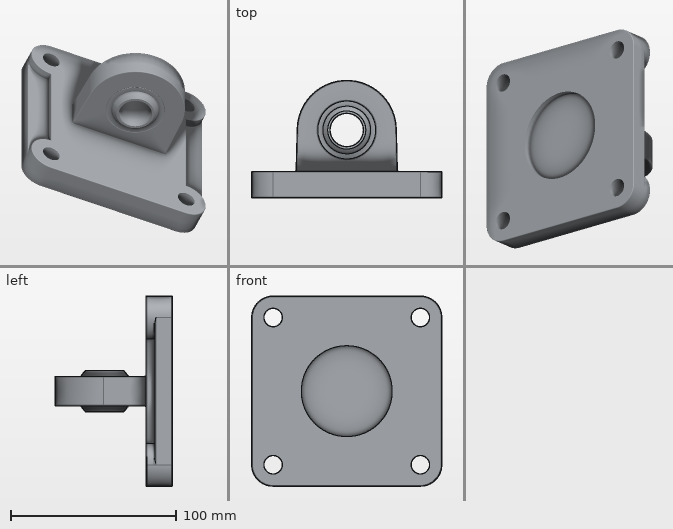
import cadquery as cq
import math

PLATE_SIZE = 115.0
PLATE_THICKNESS = 16.0
CORNER_RADIUS = 13.0
BOLT_OFFSET = PLATE_SIZE / 2 - CORNER_RADIUS
BOLT_HOLE_DIAMETER = 11.0
SPIGOT_DIAMETER = 55.0
SPIGOT_DEPTH = 5.0
EDGE_RADIUS = 0.5

RELIEF_DEPTH = 5.5
OVERCUT = 2.0
LEDGE_Y = PLATE_THICKNESS - RELIEF_DEPTH

EYE_RADIUS = 30.0
EYE_THICKNESS = 18.0
EYE_CENTER_Y = 41.0
EYE_TAPER = math.radians(1.5)
EYE_BURIAL = 3.0

RING_DIAMETER = 35.0
BALL_DIAMETER = 34.0
BALL_WIDTH = 25.0
BALL_BORE = 20.0


def y_cylinder(x, z, radius, y_start, y_end):
    """Cylinder along Y between two Y positions."""
    return cq.Workplane("XY").add(
        cq.Solid.makeCylinder(radius, y_end - y_start, cq.Vector(x, y_start, z), cq.Vector(0, 1, 0))
    )


def z_cylinder(radius, height):
    """Cylinder on the eye axis, centred on Z = 0."""
    return cq.Workplane("XY", origin=(0, EYE_CENTER_Y, -height / 2)).circle(radius).extrude(height)


def boss_centers():
    """The four corner points, each shared by a boss and its bolt hole."""
    return [(x, z) for x in (-BOLT_OFFSET, BOLT_OFFSET) for z in (-BOLT_OFFSET, BOLT_OFFSET)]


def cut_bosses(body):
    """Take the corner boss cylinders out of a cutter so that the bosses stay whole."""
    for x, z in boss_centers():
        body = body.cut(y_cylinder(x, z, CORNER_RADIUS, 0, PLATE_THICKNESS))
    return body


def make_relief(side):
    """Cutter for one side relief, running round the bosses, with its floor edges rounded."""
    width = CORNER_RADIUS + OVERCUT
    block = (
        cq.Workplane("XY")
        .box(width, RELIEF_DEPTH, 2 * BOLT_OFFSET)
        .translate((side * (BOLT_OFFSET + width / 2), LEDGE_Y + RELIEF_DEPTH / 2, 0))
    )
    return cut_bosses(block).faces("<Y").edges().fillet(EDGE_RADIUS)


def make_ledge_rounding(side):
    """Cutter that rounds the outer edge of one ledge between the bosses."""
    edge_x = side * PLATE_SIZE / 2
    inner_x = edge_x - side * EDGE_RADIUS
    diagonal = EDGE_RADIUS * math.sqrt(0.5)
    strip = (
        cq.Workplane("XY", origin=(0, 0, -BOLT_OFFSET))
        .moveTo(edge_x, LEDGE_Y - EDGE_RADIUS)
        .threePointArc(
            (inner_x + side * diagonal, LEDGE_Y - EDGE_RADIUS + diagonal),
            (inner_x, LEDGE_Y),
        )
        .lineTo(inner_x, LEDGE_Y + EDGE_RADIUS)
        .lineTo(edge_x + side * OVERCUT, LEDGE_Y + EDGE_RADIUS)
        .lineTo(edge_x + side * OVERCUT, LEDGE_Y - EDGE_RADIUS)
        .close()
        .extrude(2 * BOLT_OFFSET)
    )
    return cut_bosses(strip)


def make_plate():
    """Square plate with rounded corners, side reliefs and rounded rims."""
    plate = (
        cq.Workplane("XY")
        .box(PLATE_SIZE, PLATE_THICKNESS, PLATE_SIZE)
        .translate((0, PLATE_THICKNESS / 2, 0))
        .edges("|Y")
        .fillet(CORNER_RADIUS)
    )
    for side in (-1, 1):
        plate = plate.cut(make_relief(side))
    for rim in ("<Y", ">Y"):
        plate = plate.faces(rim).edges().fillet(EDGE_RADIUS)
    for side in (-1, 1):
        plate = plate.cut(make_ledge_rounding(side))
    return plate


def make_eye():
    """Tapered lug with a round end and rounded rims, its foot buried in the plate."""
    foot_y = PLATE_THICKNESS - EYE_BURIAL
    tangent_x = EYE_RADIUS * math.cos(EYE_TAPER)
    tangent_y = EYE_CENTER_Y + EYE_RADIUS * math.sin(EYE_TAPER)
    foot_x = tangent_x + (tangent_y - foot_y) * math.tan(EYE_TAPER)
    return (
        cq.Workplane("XY", origin=(0, 0, -EYE_THICKNESS / 2))
        .moveTo(-foot_x, foot_y)
        .lineTo(-tangent_x, tangent_y)
        .threePointArc((0, EYE_CENTER_Y + EYE_RADIUS), (tangent_x, tangent_y))
        .lineTo(foot_x, foot_y)
        .close()
        .extrude(EYE_THICKNESS)
        .cut(z_cylinder(RING_DIAMETER / 2, EYE_THICKNESS))
        .faces("<Z or >Z")
        .edges()
        .fillet(EDGE_RADIUS)
    )


def make_housing():
    """Plate and eye in one piece, with bolt holes and the spigot recess."""
    housing = make_plate().union(make_eye())
    eye_root = cq.selectors.BoxSelector(
        (-BOLT_OFFSET, PLATE_THICKNESS - EDGE_RADIUS, -EYE_THICKNESS),
        (BOLT_OFFSET, PLATE_THICKNESS + EDGE_RADIUS, EYE_THICKNESS),
    )
    housing = housing.edges(eye_root).fillet(EDGE_RADIUS)
    for x, z in boss_centers():
        housing = housing.cut(y_cylinder(x, z, BOLT_HOLE_DIAMETER / 2, 0, PLATE_THICKNESS))
    return housing.cut(y_cylinder(0, 0, SPIGOT_DIAMETER / 2, 0, SPIGOT_DEPTH))


def make_sphere():
    """Full sphere at the centre of the eye."""
    return cq.Workplane("XY", origin=(0, EYE_CENTER_Y, 0)).sphere(BALL_DIAMETER / 2)


def make_ring():
    """Bearing outer ring: flush with the eye faces, spherical inside."""
    return z_cylinder(RING_DIAMETER / 2, EYE_THICKNESS).cut(make_sphere())


def make_ball():
    """Bored ball with flat ends standing out of the ring on both sides."""
    ball = make_sphere().intersect(z_cylinder(BALL_DIAMETER, BALL_WIDTH))
    return ball.cut(z_cylinder(BALL_BORE / 2, BALL_WIDTH))


housing = make_housing()
ring = make_ring()
ball = make_ball()

result = cq.Compound.makeCompound([housing.val(), ring.val(), ball.val()])